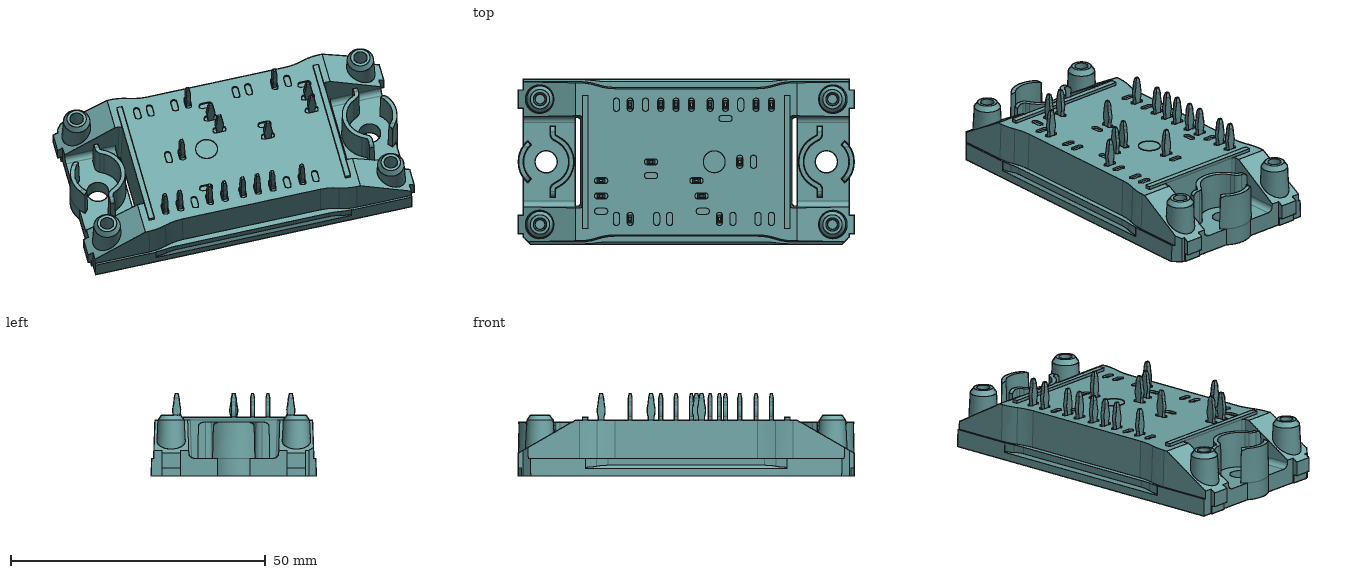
import cadquery as cq
import math

BODY_HALF_X = 32.0
END_REACH = 1.0
BASE_HALF_Y = 16.25
BASE_TOP = 3.5
BODY_TOP = 11.0
DRAFT = 2.0
CORNER_CHAMFER = 1.5
OVERSIZE = 3.0

UPPER_HALF_Y = 15.75
WAIST_HALF_Y = 14.6
WAIST_END_X = 13.95
SHOULDER_X = 21.0
SLOPE_START_X = 21.75
SLOPE_ANGLE = 30.0

GROOVE_HALF_Y = 15.73
GROOVE_END_X = 15.35
GROOVE_RUNOUT_X = 19.8
GROOVE_RUNOUT_Y = 16.05
GROOVE_FLOOR_INNER_Z = 2.15
GROOVE_FLOOR_OUTER_Z = 1.55

RIDGE_X = 19.85
RIDGE_WIDTH = 1.1
RIDGE_LENGTH = 26.1
RIDGE_HEIGHT = 0.6

POCKET_HALF_Y = 9.05
POCKET_WALL_X = RIDGE_X + RIDGE_WIDTH / 2
POCKET_FILLET = 1.1
SLOT_CORNER_RADIUS = 0.5

SCREW_X = 27.5
SCREW_DIAMETER = 4.3
GUARD_OUTER_R = BODY_HALF_X + END_REACH - SCREW_X
GUARD_INNER_R = 4.4
GUARD_TOP = 10.6
GUARD_DRAFT = 1.0
GUARD_CORNER = 1.2
OUTER_GUARD_HALF_ANGLE = 49.0
INNER_GUARD_ANGLE = 60.0
INNER_GUARD_END_Y = 7.05
INNER_GUARD_TAIL_X = 1.83
INNER_GUARD_BEND = 0.4

POST_X = 28.7
POST_Y = 12.3
POST_FOOT_R = 2.9
POST_FOOT_Z = 5.0
POST_SHOULDER_R = 2.6
POST_TIP_R = 1.9
POST_TOP = 12.0
POST_HOLE_R = 1.3
POST_HOLE_BOTTOM_R = 0.95
POST_HOLE_DEPTH = 6.0

TAB_WIDTH = 3.65
TAB_BOTTOM = 1.65
TAB_FOOT_REACH = 0.3

MARK_X = 5.5
MARK_DIAMETER = 4.3
MARK_DEPTH = 0.1

OPENING_LENGTH = 2.6
OPENING_WIDTH = 1.2
OPENING_DEPTH = 0.4
PIN_TOP = 16.23
PIN_THICKNESS = 0.8
PIN_TIP_THICKNESS = 0.4
PIN_TIP_START = 15.35
PIN_FOOT = (0.6, BODY_TOP - OPENING_DEPTH)
PIN_BULGE_START = (0.6, 11.7)
PIN_BULGE = (0.8, 12.8)
PIN_BULGE_END = (0.64, 14.0)
PIN_NECK = (0.58, 14.57)
PIN_SHOULDER = (0.5, PIN_TIP_START)
PIN_TIP = (0.3, PIN_TOP)
ROW_Y = 11.2
PINS_ALONG_Y = [(x, ROW_Y) for x in (-11.0, -5.0, -2.0, 1.0, 4.7, 7.7, 13.7, 16.7)]
PINS_ALONG_Y += [(-11.0, -ROW_Y), (6.5, -ROW_Y), (10.5, 0.0)]
EMPTY_ALONG_Y = [(-13.7, ROW_Y), (-8.0, ROW_Y), (10.7, ROW_Y), (13.2, 0.0)]
EMPTY_ALONG_Y += [(x, -ROW_Y) for x in (-13.7, -5.8, -3.25, 9.15, 14.1, 16.7)]
PINS_ALONG_X = [(-6.9, 0.0), (-16.7, -3.7), (-16.7, -6.7), (2.0, -3.7), (3.0, -6.7)]
EMPTY_ALONG_X = [(7.7, 8.5), (-6.9, -2.7), (-16.7, -9.7), (3.25, -9.7)]


def box(x_min, x_max, y_min, y_max, z_min, z_max):
    size = (x_max - x_min, y_max - y_min, z_max - z_min)
    return cq.Workplane("XY").box(*size, centered=False).translate((x_min, y_min, z_min))


def polar(radius, degrees):
    angle = math.radians(degrees)
    return (radius * math.cos(angle), radius * math.sin(angle))


def both_ends(shape):
    """The -X feature together with its mirror image at +X."""
    return shape.union(shape.mirror("YZ"))


def s_curve(x_flat, y_flat, x_far, y_far):
    """Mid points and joint of the two tangent arcs from (x_flat, y_flat) to (x_far, y_far)."""
    half_run = (x_far - x_flat) / 2
    half_rise = (y_far - y_flat) / 2
    radius = (half_run**2 + half_rise**2) / (2 * abs(half_rise))
    sag = math.copysign(radius - math.sqrt(radius**2 - (half_run / 2) ** 2), half_rise)
    first_mid = (x_flat + half_run / 2, y_flat + sag)
    joint = (x_flat + half_run, y_flat + half_rise)
    second_mid = (x_far - half_run / 2, y_far - sag)
    return first_mid, joint, second_mid


def waisted_edge(sketch, x_flat, y_flat, x_far, y_far):
    """Draw a waisted edge from (-x_far, y_far) across to (x_far, y_far)."""
    first_mid, joint, second_mid = s_curve(x_flat, y_flat, x_far, y_far)
    return (
        sketch.threePointArc((-second_mid[0], second_mid[1]), (-joint[0], joint[1]))
        .threePointArc((-first_mid[0], first_mid[1]), (-x_flat, y_flat))
        .lineTo(x_flat, y_flat)
        .threePointArc(first_mid, joint)
        .threePointArc(second_mid, (x_far, y_far))
    )


def upper_block():
    """Drafted lid block with waisted long sides, before its ends are trimmed."""
    end_x = BODY_HALF_X + OVERSIZE
    outline = cq.Workplane("XY").workplane(offset=BASE_TOP).moveTo(-end_x, -UPPER_HALF_Y)
    outline = outline.lineTo(-end_x, UPPER_HALF_Y).lineTo(-SHOULDER_X, UPPER_HALF_Y)
    outline = waisted_edge(outline, WAIST_END_X, WAIST_HALF_Y, SHOULDER_X, UPPER_HALF_Y)
    outline = outline.lineTo(end_x, UPPER_HALF_Y).lineTo(end_x, -UPPER_HALF_Y)
    outline = outline.lineTo(SHOULDER_X, -UPPER_HALF_Y)
    outline = waisted_edge(outline, -WAIST_END_X, -WAIST_HALF_Y, -SHOULDER_X, -UPPER_HALF_Y)
    return outline.close().extrude(BODY_TOP - BASE_TOP, taper=DRAFT)


def base_block():
    length = 2 * (BODY_HALF_X + OVERSIZE)
    return cq.Workplane("XY").rect(length, 2 * BASE_HALF_Y).extrude(BASE_TOP, taper=DRAFT)


def slope_height(x):
    """Height of the sloped end roof at distance x from the middle."""
    return BODY_TOP - (x - SLOPE_START_X) * math.tan(math.radians(SLOPE_ANGLE))


def side_envelope():
    """Part silhouette seen along Y: flat lid with a sloped roof at each end."""
    end_x = BODY_HALF_X + END_REACH
    points = [
        (-end_x, 0),
        (-end_x, slope_height(end_x)),
        (-SLOPE_START_X, BODY_TOP),
        (SLOPE_START_X, BODY_TOP),
        (end_x, slope_height(end_x)),
        (end_x, 0),
    ]
    return cq.Workplane("XZ").polyline(points).close().extrude(BASE_HALF_Y + OVERSIZE, both=True)


def plan_envelope():
    """Plan limits: flat ends and the two chamfered -Y corners."""
    corner_x = BODY_HALF_X - CORNER_CHAMFER
    corner_y = -BASE_HALF_Y + CORNER_CHAMFER
    points = [
        (-BODY_HALF_X, BASE_HALF_Y),
        (BODY_HALF_X, BASE_HALF_Y),
        (BODY_HALF_X, corner_y),
        (corner_x, -BASE_HALF_Y),
        (-corner_x, -BASE_HALF_Y),
        (-BODY_HALF_X, corner_y),
    ]
    return cq.Workplane("XY").polyline(points).close().extrude(BODY_TOP)


def side_groove():
    """Cutter for the +Y base groove: waisted wall over a sloped floor."""
    surface_y = BASE_HALF_Y - GROOVE_FLOOR_OUTER_Z * math.tan(math.radians(DRAFT))
    outer_y = BASE_HALF_Y + OVERSIZE
    plan = cq.Workplane("XY").moveTo(-GROOVE_RUNOUT_X, GROOVE_RUNOUT_Y)
    plan = waisted_edge(plan, GROOVE_END_X, GROOVE_HALF_Y, GROOVE_RUNOUT_X, GROOVE_RUNOUT_Y)
    plan = plan.lineTo(GROOVE_RUNOUT_X, outer_y).lineTo(-GROOVE_RUNOUT_X, outer_y)
    plan = plan.close().extrude(BASE_TOP)
    section = [
        (GROOVE_HALF_Y, BASE_TOP),
        (GROOVE_HALF_Y, GROOVE_FLOOR_INNER_Z),
        (surface_y, GROOVE_FLOOR_OUTER_Z),
        (outer_y, GROOVE_FLOOR_OUTER_Z),
        (outer_y, BASE_TOP),
    ]
    floor = cq.Workplane("YZ").polyline(section).close().extrude(GROOVE_RUNOUT_X, both=True)
    return plan.intersect(floor)


def end_tabs():
    """Two tabs at -X, sloped on top, each above a shallower foot."""
    inner_x = -BODY_HALF_X + END_REACH
    tip_x = -BODY_HALF_X - END_REACH
    profile = [
        (inner_x, 0),
        (-BODY_HALF_X - TAB_FOOT_REACH, 0),
        (-BODY_HALF_X - TAB_FOOT_REACH, TAB_BOTTOM),
        (tip_x, TAB_BOTTOM),
        (tip_x, slope_height(-tip_x)),
        (inner_x, slope_height(-inner_x)),
    ]
    tab = cq.Workplane("XZ").polyline(profile).close().extrude(TAB_WIDTH / 2, both=True)
    return tab.translate((0, POST_Y, 0)).union(tab.translate((0, -POST_Y, 0)))


def pocket_block(height):
    """Drafted block below the lid plane that bounds the pocket walls at -X."""
    length = BODY_HALF_X + 2 * OVERSIZE - POCKET_WALL_X
    middle_x = -POCKET_WALL_X - length / 2
    block = cq.Workplane("XY").rect(length, 2 * POCKET_HALF_Y).extrude(-height, taper=DRAFT)
    return block.translate((middle_x, 0, BODY_TOP))


def end_pocket():
    """Cutter for the -X pocket: rounded floor plus a slot through beside the end wall."""
    pocket = pocket_block(BODY_TOP - BASE_TOP)
    pocket = pocket.faces("<Z").edges("|X").fillet(POCKET_FILLET)
    half_y = POCKET_HALF_Y + OVERSIZE
    outer_x = -BODY_HALF_X - OVERSIZE
    pocket = pocket.intersect(box(outer_x, -SLOPE_START_X, -half_y, half_y, 0, BODY_TOP))
    slot = pocket_block(BODY_TOP).faces(">X").edges("not |Y")
    slot = slot.fillet(SLOT_CORNER_RADIUS)
    slot = slot.intersect(box(-SLOPE_START_X, 0, -half_y, half_y, 0, BODY_TOP))
    return pocket.union(slot)


def rounded_guard_limit(half_y):
    """Plate across X, with rounded upper corners, that limits a guard wall."""
    height = GUARD_TOP - BASE_TOP
    plate = cq.Workplane("XY").box(6 * GUARD_OUTER_R, 2 * half_y, height)
    plate = plate.edges("|X and >Z").fillet(GUARD_CORNER)
    return plate.translate((0, 0, BASE_TOP + height / 2))


def outer_guard():
    """Arc wall on the -X side of a screw hole on the Z axis."""
    start = 180 - OUTER_GUARD_HALF_ANGLE
    stop = 180 + OUTER_GUARD_HALF_ANGLE
    wall = (
        cq.Workplane("XY")
        .workplane(offset=BASE_TOP)
        .moveTo(*polar(GUARD_OUTER_R, start))
        .threePointArc((-GUARD_OUTER_R, 0), polar(GUARD_OUTER_R, stop))
        .lineTo(*polar(GUARD_INNER_R, stop))
        .threePointArc((-GUARD_INNER_R, 0), polar(GUARD_INNER_R, start))
        .close()
        .extrude(GUARD_TOP - BASE_TOP, taper=GUARD_DRAFT)
    )
    return wall.intersect(rounded_guard_limit(polar(GUARD_OUTER_R, start)[1]))


def guard_flank(wall_radius, bend_radius, bend_centre):
    """Points along one face of the +Y flank, from the arc end up to the tail end."""
    turn = 180 + INNER_GUARD_ANGLE
    bend_start = polar(bend_radius, turn)
    bend_mid = polar(bend_radius, (turn + 180) / 2)
    tail_x = bend_centre[0] - bend_radius
    return [
        polar(wall_radius, INNER_GUARD_ANGLE),
        (bend_centre[0] + bend_start[0], bend_centre[1] + bend_start[1]),
        (bend_centre[0] + bend_mid[0], bend_centre[1] + bend_mid[1]),
        (tail_x, bend_centre[1]),
        (tail_x, INNER_GUARD_END_Y),
    ]


def inner_guard():
    """Omega-shaped wall on the +X side of a screw hole on the Z axis."""
    flank = math.radians(INNER_GUARD_ANGLE)
    centre_x = INNER_GUARD_TAIL_X + INNER_GUARD_BEND
    centre_reach = GUARD_OUTER_R + INNER_GUARD_BEND
    centre_y = (centre_reach - centre_x * math.cos(flank)) / math.sin(flank)
    centre = (centre_x, centre_y)
    inner_bend = INNER_GUARD_BEND + GUARD_OUTER_R - GUARD_INNER_R
    outer = guard_flank(GUARD_OUTER_R, INNER_GUARD_BEND, centre)
    inner = guard_flank(GUARD_INNER_R, inner_bend, centre)
    outer_low = [(x, -y) for x, y in outer]
    inner_low = [(x, -y) for x, y in inner]
    wall = (
        cq.Workplane("XY")
        .workplane(offset=BASE_TOP)
        .moveTo(*outer[0])
        .lineTo(*outer[1])
        .threePointArc(outer[2], outer[3])
        .lineTo(*outer[4])
        .lineTo(*inner[4])
        .lineTo(*inner[3])
        .threePointArc(inner[2], inner[1])
        .lineTo(*inner[0])
        .threePointArc((GUARD_INNER_R, 0), inner_low[0])
        .lineTo(*inner_low[1])
        .threePointArc(inner_low[2], inner_low[3])
        .lineTo(*inner_low[4])
        .lineTo(*outer_low[4])
        .lineTo(*outer_low[3])
        .threePointArc(outer_low[2], outer_low[1])
        .lineTo(*outer_low[0])
        .threePointArc((GUARD_OUTER_R, 0), outer[0])
        .close()
        .extrude(GUARD_TOP - BASE_TOP, taper=GUARD_DRAFT)
    )
    return wall.intersect(rounded_guard_limit(INNER_GUARD_END_Y))


def screw_station():
    """Guard walls at -X, and the round base bump that carries the outer one."""
    reach = GUARD_OUTER_R
    bump = cq.Workplane("XY").circle(reach).extrude(BASE_TOP)
    bump = bump.intersect(box(-reach, 0, -reach, reach, 0, BASE_TOP))
    return bump.union(outer_guard()).union(inner_guard()).translate((-SCREW_X, 0, 0))


def post():
    """Tapered corner post with a conical tip, on the Z axis."""
    profile = [
        (0, POST_FOOT_Z),
        (POST_FOOT_R, POST_FOOT_Z),
        (POST_SHOULDER_R, BODY_TOP),
        (POST_TIP_R, POST_TOP),
        (0, POST_TOP),
    ]
    return cq.Workplane("XZ").polyline(profile).close().revolve(360, (0, 0, 0), (0, 1, 0))


def post_hole():
    """Cutter for the blind tapered hole in a post, on the Z axis."""
    bottom = POST_TOP - POST_HOLE_DEPTH
    profile = [(0, bottom), (POST_HOLE_BOTTOM_R, bottom), (POST_HOLE_R, POST_TOP), (0, POST_TOP)]
    return cq.Workplane("XZ").polyline(profile).close().revolve(360, (0, 0, 0), (0, 1, 0))


def ridge():
    block = cq.Workplane("XY").box(RIDGE_WIDTH, RIDGE_LENGTH, RIDGE_HEIGHT)
    return block.translate((-RIDGE_X, 0, BODY_TOP + RIDGE_HEIGHT / 2))


def openings(places, angle):
    """Cutters for rounded pin openings, long side turned by angle from X."""
    plane = cq.Workplane("XY").workplane(offset=BODY_TOP).pushPoints(places)
    return plane.slot2D(OPENING_LENGTH, OPENING_WIDTH, angle).extrude(-OPENING_DEPTH)


def pin():
    """Flat contact pin on the Z axis, wide along X, with a thinned tip."""
    half = PIN_THICKNESS / 2
    side = (
        cq.Workplane("XZ")
        .moveTo(0, PIN_FOOT[1])
        .lineTo(*PIN_FOOT)
        .lineTo(*PIN_BULGE_START)
        .threePointArc(PIN_BULGE, PIN_BULGE_END)
        .lineTo(*PIN_NECK)
        .lineTo(*PIN_SHOULDER)
        .lineTo(*PIN_TIP)
        .lineTo(0, PIN_TOP)
    )
    blade = side.mirrorY().extrude(half, both=True)
    bottom = PIN_FOOT[1]
    half_tip = PIN_TIP_THICKNESS / 2
    edge = [
        (-half, bottom),
        (half, bottom),
        (half, PIN_TIP_START),
        (half_tip, PIN_TOP),
        (-half_tip, PIN_TOP),
        (-half, PIN_TIP_START),
    ]
    return blade.intersect(cq.Workplane("YZ").polyline(edge).close().extrude(OPENING_LENGTH, both=True))


groove = side_groove()
housing = base_block().union(upper_block())
housing = housing.intersect(side_envelope()).intersect(plan_envelope())
housing = housing.cut(groove).cut(groove.mirror("XZ"))
housing = housing.union(both_ends(end_tabs()))
housing = housing.cut(both_ends(end_pocket()))
housing = housing.union(both_ends(screw_station()))

screw_holes = cq.Workplane("XY").pushPoints([(-SCREW_X, 0), (SCREW_X, 0)])
housing = housing.cut(screw_holes.circle(SCREW_DIAMETER / 2).extrude(BASE_TOP))

for x in (-POST_X, POST_X):
    for y in (-POST_Y, POST_Y):
        housing = housing.union(post().translate((x, y, 0)))
        housing = housing.cut(post_hole().translate((x, y, 0)))

housing = housing.union(both_ends(ridge()))
mark = cq.Workplane("XY").circle(MARK_DIAMETER / 2).extrude(MARK_DEPTH)
housing = housing.cut(mark.translate((MARK_X, 0, BODY_TOP - MARK_DEPTH)))
housing = housing.cut(openings(PINS_ALONG_Y + EMPTY_ALONG_Y, 90))
housing = housing.cut(openings(PINS_ALONG_X + EMPTY_ALONG_X, 0))

pin_along_x = pin()
pin_along_y = pin_along_x.rotate((0, 0, 0), (0, 0, 1), 90)
for x, y in PINS_ALONG_X:
    housing = housing.union(pin_along_x.translate((x, y, 0)))
for x, y in PINS_ALONG_Y:
    housing = housing.union(pin_along_y.translate((x, y, 0)))

result = housing